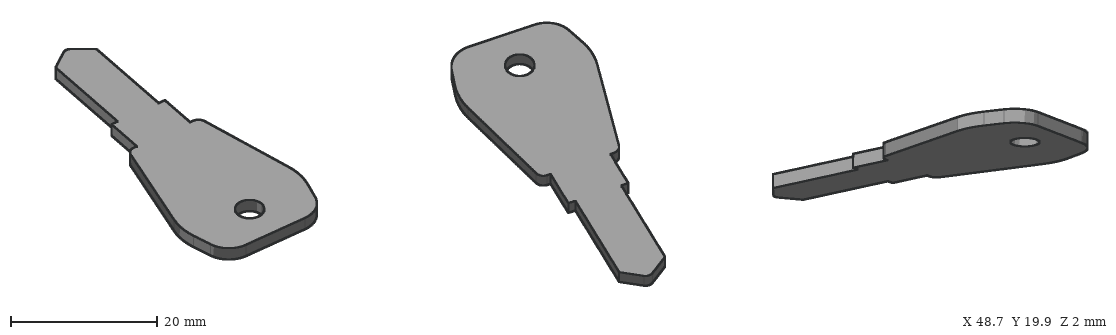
import cadquery as cq

length = 48.74
thickness = 2.0

blade_width = 6.9
tip_length = 2.24
tip_nose_width = 1.3
tip_nose_depth = 0.21

collar_width = 9.0
collar_length = 5.9

bow_length = 26.1
bow_neck_width = 12.0
bow_crown_width = 20.48
bow_end_width = 16.0
crown_from_end = 8.0
neck_radius = 1.25
crown_radius = 9.0
end_radius = 4.0

ring_hole_diameter = 4.0
ring_hole_from_end = 6.0

bow_x = length - bow_length
collar_x = bow_x - collar_length
crown_x = length - crown_from_end


def mirrored(upper_points):
    """Close an upper half outline with its mirror image below the X axis."""
    return upper_points + [(x, -y) for x, y in reversed(upper_points)]


def make_blade():
    nose_half = tip_nose_width / 2
    blade_half = blade_width / 2
    return (
        cq.Workplane("XY")
        .moveTo(tip_nose_depth, -nose_half)
        .threePointArc((0, 0), (tip_nose_depth, nose_half))
        .lineTo(tip_length, blade_half)
        .lineTo(collar_x, blade_half)
        .lineTo(collar_x, -blade_half)
        .lineTo(tip_length, -blade_half)
        .close()
        .extrude(thickness)
    )


def make_collar():
    return (
        cq.Workplane("XY")
        .rect(collar_length, collar_width)
        .extrude(thickness)
        .translate((collar_x + collar_length / 2, 0, 0))
    )


def round_corners(body, corner_x, corner_width, radius):
    """Round the two upright edges at (corner_x, +/- corner_width / 2)."""
    for side in (1, -1):
        corner = (corner_x, side * corner_width / 2, thickness / 2)
        body = body.edges(cq.NearestToPointSelector(corner)).fillet(radius)
    return body


def make_bow():
    upper_points = [
        (bow_x, bow_neck_width / 2),
        (crown_x, bow_crown_width / 2),
        (length, bow_end_width / 2),
    ]
    bow = cq.Workplane("XY").polyline(mirrored(upper_points)).close().extrude(thickness)
    bow = round_corners(bow, bow_x, bow_neck_width, neck_radius)
    bow = round_corners(bow, crown_x, bow_crown_width, crown_radius)
    return round_corners(bow, length, bow_end_width, end_radius)


def make_ring_hole():
    return (
        cq.Workplane("XY")
        .center(length - ring_hole_from_end, 0)
        .circle(ring_hole_diameter / 2)
        .extrude(thickness)
    )


result = make_blade().union(make_collar()).union(make_bow()).cut(make_ring_hole())